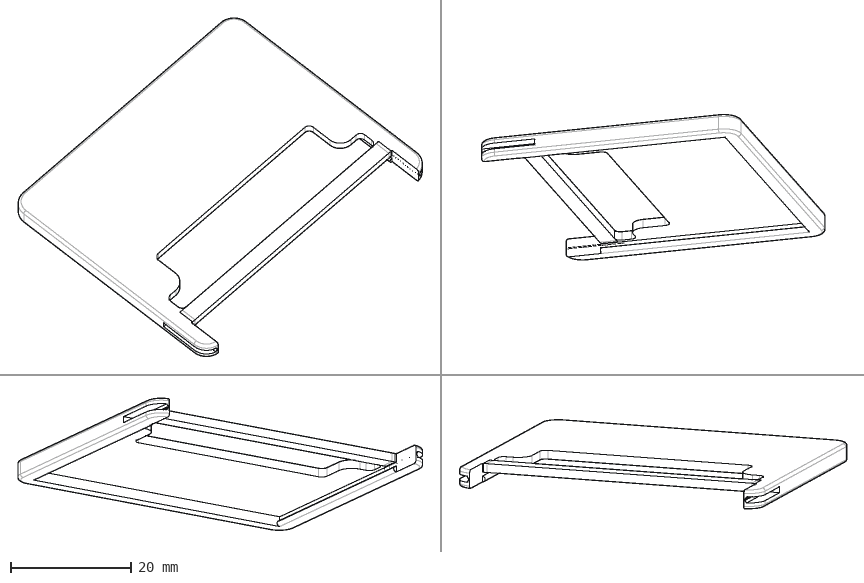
import cadquery as cq

LENGTH = 45.0
WIDTH = 54.0
THICKNESS = 3.2
CORNER_RADIUS = 3.0
EDGE_FILLET = 0.5
PANEL_THICKNESS = 1.5
RIM_WIDTH = 2.7

BAR_X = 36.0
BAR_WIDTH = 2.9
BAR_TAB_LENGTH = 0.6

WINDOW_X = 25.1
WINDOW_HALF_WIDTH = 18.75
WINDOW_CORNER_RADIUS = 1.0
SHOULDER_X = 32.4
SHOULDER_RADIUS = 2.5
NOTCH_HALF_WIDTH = 23.5
NOTCH_CORNER_RADIUS = 1.0

LIP_RADIUS = 0.5

GROOVE_X = 35.0
GROOVE_HEIGHT = 1.02
GROOVE_FLOOR = 0.2
GROOVE_TAPER = 0.3
GROOVE_WALL = 0.2

cavity_half_width = WIDTH / 2 - RIM_WIDTH
cavity_height = THICKNESS - PANEL_THICKNESS
bar_end_x = BAR_X + BAR_WIDTH
bar_half_length = NOTCH_HALF_WIDTH + BAR_TAB_LENGTH


def centred_block(x_min, x_max, half_width, z_min, z_max):
    """Block that is symmetric about the XZ plane."""
    return (
        cq.Workplane("XY", origin=((x_min + x_max) / 2, 0, z_min))
        .rect(x_max - x_min, 2 * half_width)
        .extrude(z_max - z_min)
    )


def make_window():
    """Cutter for the stepped window, mirrored about the XZ plane."""
    inner = centred_block(WINDOW_X, BAR_X, WINDOW_HALF_WIDTH, 0, THICKNESS)
    inner = inner.edges("|Z and <X").fillet(WINDOW_CORNER_RADIUS)
    notches = centred_block(SHOULDER_X, BAR_X, NOTCH_HALF_WIDTH, 0, THICKNESS)
    notches = notches.edges("|Z").fillet(NOTCH_CORNER_RADIUS)
    shoulders = [(SHOULDER_X, side * WINDOW_HALF_WIDTH, THICKNESS / 2) for side in (-1, 1)]
    window = inner.union(notches)
    for corner in shoulders:
        window = window.edges(cq.selectors.NearestToPointSelector(corner)).fillet(SHOULDER_RADIUS)
    return window


def make_groove():
    """Cutter for the groove in the +Y arm."""
    mid_z = THICKNESS / 2
    mouth_y = WIDTH / 2
    floor_y = cavity_half_width + GROOVE_WALL
    taper_y = floor_y + GROOVE_TAPER
    profile = [
        (mouth_y, mid_z - GROOVE_HEIGHT / 2),
        (taper_y, mid_z - GROOVE_HEIGHT / 2),
        (floor_y, mid_z - GROOVE_FLOOR / 2),
        (floor_y, mid_z + GROOVE_FLOOR / 2),
        (taper_y, mid_z + GROOVE_HEIGHT / 2),
        (mouth_y, mid_z + GROOVE_HEIGHT / 2),
    ]
    groove = cq.Workplane("YZ", origin=(GROOVE_X, 0, 0)).polyline(profile).close()
    return groove.extrude(LENGTH - GROOVE_X)


def make_lip(side):
    """Half-round lip on one inner rim wall, ending level with the crossbar."""
    lip = cq.Workplane("YZ", origin=(RIM_WIDTH, side * cavity_half_width, LIP_RADIUS))
    return lip.circle(LIP_RADIUS).extrude(bar_end_x - RIM_WIDTH)


def make_bar():
    """Flat crossbar, level with the panel, with a tab at each end that sits in the tray."""
    bar = centred_block(BAR_X, bar_end_x, NOTCH_HALF_WIDTH, cavity_height, THICKNESS)
    for side in (-1, 1):
        tab = (
            cq.Workplane("XY", origin=(BAR_X + BAR_WIDTH / 2, 0, cavity_height))
            .center(0, side * (NOTCH_HALF_WIDTH + BAR_TAB_LENGTH / 2))
            .rect(BAR_WIDTH, BAR_TAB_LENGTH)
            .extrude(PANEL_THICKNESS)
        )
        bar = bar.union(tab, clean=False)
    return bar


def make_tray():
    tray = centred_block(0, LENGTH, WIDTH / 2, 0, THICKNESS)
    tray = tray.edges("|Z").fillet(CORNER_RADIUS)
    tray = tray.faces("<Z or >Z").edges().fillet(EDGE_FILLET)
    groove = make_groove()
    tray = tray.cut(groove).cut(groove.mirror("XZ"))
    tray = tray.cut(centred_block(RIM_WIDTH, LENGTH, cavity_half_width, 0, cavity_height))
    tray = tray.cut(centred_block(bar_end_x, LENGTH, cavity_half_width, 0, THICKNESS))
    tray = tray.cut(make_window())
    tray = tray.cut(centred_block(BAR_X, bar_end_x, bar_half_length, cavity_height, THICKNESS))
    for side in (-1, 1):
        tray = tray.union(make_lip(side))
    return tray


tray = make_tray()
bar = make_bar()

result = cq.Compound.makeCompound([tray.val(), bar.val()])